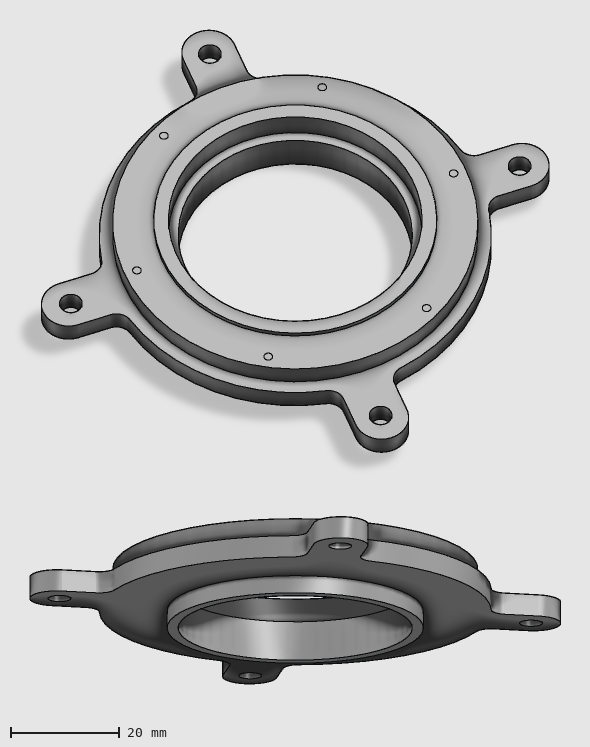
import cadquery as cq
import math

overall_span = 99.0

spigot_diameter = 47.0
spigot_height = 3.3

flange_diameter = 72.0
flange_thickness = 4.1
base_bore_diameter = 43.0

ear_count = 4
ear_width = 10.0
ear_root_radius = 3.0
ear_hole_diameter = 4.2
ear_hole_circle_radius = 44.1

cover_diameter = 67.0
cover_thickness = 4.0
cover_bore_diameter = 46.5
lip_diameter = 52.0
lip_height = 0.9

pin_count = 6
pin_diameter = 1.6
pin_circle_radius = 31.1
first_pin_angle = 90.0

flange_bottom = spigot_height
flange_top = flange_bottom + flange_thickness
cover_top = flange_top + cover_thickness


def disc(diameter, bottom, height):
    """Round disc centred on the Z axis."""
    return cq.Workplane("XY").workplane(offset=bottom).circle(diameter / 2).extrude(height)


def circle_points(radius, count, first_angle=0.0):
    """Evenly spaced points on a circle around the Z axis."""
    angles = [math.radians(first_angle + 360.0 * i / count) for i in range(count)]
    return [(radius * math.cos(a), radius * math.sin(a)) for a in angles]


def make_ear_flange():
    """Round flange with rounded mounting ears blended into its rim."""
    end_radius = ear_width / 2
    reach = overall_span / 2 - end_radius
    flange_radius = flange_diameter / 2
    flange = disc(flange_diameter, flange_bottom, flange_thickness)
    for i in range(ear_count):
        ear = (
            cq.Workplane("XY")
            .workplane(offset=flange_bottom)
            .moveTo(0, -end_radius)
            .lineTo(reach, -end_radius)
            .threePointArc((reach + end_radius, 0), (reach, end_radius))
            .lineTo(0, end_radius)
            .close()
            .extrude(flange_thickness)
        )
        flange = flange.union(ear.rotate((0, 0, 0), (0, 0, 1), 360.0 * i / ear_count))

    root_edges = cq.selectors.BoxSelector(
        (-flange_radius, -flange_radius, flange_bottom),
        (flange_radius, flange_radius, flange_top),
    )
    flange = flange.edges("|Z").edges(root_edges).fillet(ear_root_radius)

    holes = (
        cq.Workplane("XY")
        .workplane(offset=flange_bottom)
        .pushPoints(circle_points(ear_hole_circle_radius, ear_count))
        .circle(ear_hole_diameter / 2)
        .extrude(flange_thickness)
    )
    return flange.cut(holes)


def make_base():
    """Eared flange with a spigot below it and a bore through both."""
    spigot = disc(spigot_diameter, 0, spigot_height)
    bore = disc(base_bore_diameter, 0, flange_top)
    return make_ear_flange().union(spigot).cut(bore)


def make_pin(x, y):
    """Pin that fills the thickness of the cover, flush with its top face."""
    return disc(pin_diameter, flange_top, cover_thickness).translate((x, y, 0))


def make_cover(pins):
    """Ring seated on the flange, with a raised lip round its bore and a hole for each pin."""
    cover = disc(cover_diameter, flange_top, cover_thickness)
    cover = cover.union(disc(lip_diameter, cover_top, lip_height))
    cover = cover.cut(disc(cover_bore_diameter, flange_top, cover_thickness + lip_height))
    for pin in pins:
        cover = cover.cut(pin)
    return cover


base = make_base()
pins = [make_pin(x, y) for x, y in circle_points(pin_circle_radius, pin_count, first_pin_angle)]
cover = make_cover(pins)

result = cq.Compound.makeCompound([base.val(), cover.val(), *[pin.val() for pin in pins]])